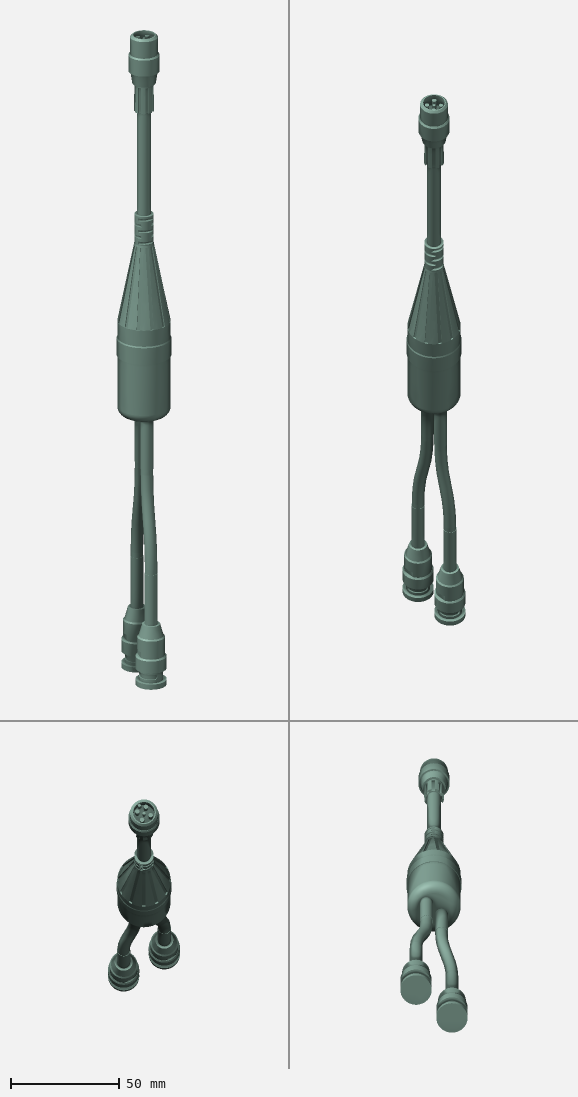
import cadquery as cq
import math


TOP = 321.5
NOSE_BOTTOM = 312.2
GRIP_BOTTOM = 303.5
SHOULDER_BOTTOM = 297.5
FLARE_TOP = 293.0
RELIEF_BOTTOM = 283.5
NECK_TOP = 231.8
CONE_TOP = 217.3
CONE_BOTTOM = 178.0
COLLAR_TOP = 170.0
COLLAR_BOTTOM = 161.0
CUP_BOTTOM = 131.0

CABLE_R = 3.2
NOSE_R = 13 / 2
NOSE_CHAMFER = 1.0
GRIP_R = 14.5 / 2
SHOULDER_TOP_R = 6.5
SHOULDER_BOTTOM_R = 5.5
RELIEF_R = 4.5
FLARE_BOTTOM_R = 9.3 / 2
HOUSING_R = 24.8 / 2
COLLAR_R = 25.5 / 2
STEP_CHAMFER = 0.5
CUP_FILLET = 4.5

SOCKET_R = 10.0 / 2
SOCKET_DEPTH = 6.5
PIN_R = 2.03 / 2
CENTER_PIN_R = 1.3 / 2
PIN_CIRCLE_R = 3.2
PIN_COUNT = 4
FIRST_PIN_ANGLE = 45
PIN_RECESS = 1.5
KEY_WIDTH = 1.3
KEY_DEPTH = 1.3

GROOVE_WIDTH = 1.5
RELIEF_GROOVE_DEPTH = 1.0
CONE_GROOVE_DEPTH = 0.5
RELIEF_GROOVES = 8
RELIEF_GROOVE_TOP = 296.5
CONE_GROOVES = 12
CONE_GROOVE_TOP = 216.5
NECK_SLOTS = 5
NECK_SLOT_PITCH = 3.0
NECK_SLOT_HEIGHT = 1.3
FIRST_SLOT_Z = 230.2
NECK_WEB = 4.8
NECK_CORE_R = 3.0
CUT_MARGIN = 3.2

LEAD_TOP_X = 4.5
PLUG_X = 21.5 / 2
LEAD_R = 5.8 / 2
SLEEVE_R = 6.0 / 2
UPPER_SLEEVE_BOTTOM = 105.8
BEND_TOP = 103.2
BEND_BOTTOM = 58.2
LOWER_SLEEVE_TOP = 55.5

PLUG_TOP = 30.2
PLUG_TOP_R = 4.2
PLUG_BODY_TOP = 24.5
PLUG_BODY_R = 13 / 2
PLUG_GRIP_TOP = 14.8
PLUG_GRIP_BOTTOM = 8.0
PLUG_GRIP_R = GRIP_R
PLUG_NECK_R = 11.3 / 2
FLANGE_TOP = 2.5
FLAT_HEIGHT = 3.0
FLAT_DISTANCE = 5.8
BAYONET_Z = 5.5
BAYONET_WIDTH = 2.5
BAYONET_DEPTH = 0.5
BAYONET_SWEEP = 90


def revolved(profile):
    """Solid of revolution about Z from (radius, height) points, closed along the axis."""
    points = [(0, profile[0][1])] + profile + [(0, profile[-1][1])]
    return cq.Workplane("XZ").polyline(points).close().revolve(360, (0, 0), (0, 1))


def cylinder(radius, bottom, top, x=0, y=0):
    return cq.Workplane("XY", origin=(x, y, bottom)).circle(radius).extrude(top - bottom)


def box(x_range, y_range, z_range):
    sizes = [high - low for low, high in (x_range, y_range, z_range)]
    return cq.Workplane("XY").box(*sizes, centered=False).translate((x_range[0], y_range[0], z_range[0]))


def cut_grooves(body, count, depth, top, top_r, bottom, bottom_r):
    """Cut evenly spaced straight grooves that follow a cylinder or cone."""
    outside = max(top_r, bottom_r) + CUT_MARGIN
    groove = (
        cq.Workplane("XZ")
        .polyline([
            (top_r - depth, top),
            (outside, top),
            (outside, bottom),
            (bottom_r - depth, bottom),
        ])
        .close()
        .extrude(GROOVE_WIDTH / 2, both=True)
    )
    for i in range(count):
        body = body.cut(groove.rotate((0, 0, 0), (0, 0, 1), i * 360 / count))
    return body


def upper_profile():
    return revolved([
        (NOSE_R - NOSE_CHAMFER, TOP),
        (NOSE_R, TOP - NOSE_CHAMFER),
        (NOSE_R, NOSE_BOTTOM),
        (GRIP_R - STEP_CHAMFER, NOSE_BOTTOM),
        (GRIP_R, NOSE_BOTTOM - STEP_CHAMFER),
        (GRIP_R, GRIP_BOTTOM),
        (SHOULDER_TOP_R, GRIP_BOTTOM),
        (SHOULDER_BOTTOM_R, SHOULDER_BOTTOM),
        (RELIEF_R, SHOULDER_BOTTOM),
        (RELIEF_R, FLARE_TOP),
        (FLARE_BOTTOM_R, RELIEF_BOTTOM),
        (CABLE_R, RELIEF_BOTTOM),
        (CABLE_R, NECK_TOP),
        (RELIEF_R, NECK_TOP),
        (RELIEF_R, CONE_TOP),
        (HOUSING_R, CONE_BOTTOM),
        (HOUSING_R, COLLAR_TOP),
        (COLLAR_R, COLLAR_TOP - STEP_CHAMFER),
        (COLLAR_R, COLLAR_BOTTOM),
    ])


def add_socket(body):
    """Sink the socket into the top end, with its key and contact pins."""
    floor = TOP - SOCKET_DEPTH
    pin_top = TOP - PIN_RECESS
    body = body.cut(cylinder(SOCKET_R, floor, TOP))
    key_outer_y = (SOCKET_R + NOSE_R - NOSE_CHAMFER) / 2
    key = box(
        (-KEY_WIDTH / 2, KEY_WIDTH / 2),
        (SOCKET_R - KEY_DEPTH, key_outer_y),
        (floor, pin_top),
    )
    body = body.union(key).union(cylinder(CENTER_PIN_R, floor, pin_top))
    for i in range(PIN_COUNT):
        angle = math.radians(FIRST_PIN_ANGLE + i * 360 / PIN_COUNT)
        x = PIN_CIRCLE_R * math.cos(angle)
        y = PIN_CIRCLE_R * math.sin(angle)
        body = body.union(cylinder(PIN_R, floor, pin_top, x, y))
    return body


def cut_neck_slots(body):
    """Cut pairs of slots, alternately from the X and Y sides, around the cable core."""
    reach = RELIEF_R + CUT_MARGIN
    for i in range(NECK_SLOTS):
        middle = FIRST_SLOT_Z - i * NECK_SLOT_PITCH
        z_range = (middle - NECK_SLOT_HEIGHT / 2, middle + NECK_SLOT_HEIGHT / 2)
        slot = box((NECK_WEB / 2, reach), (-reach, reach), z_range)
        slot = slot.cut(cylinder(NECK_CORE_R, *z_range))
        first_angle = 90 * (i % 2)
        for angle in (first_angle, first_angle + 180):
            body = body.cut(slot.rotate((0, 0, 0), (0, 0, 1), angle))
    return body


def cut_relief_grooves(body):
    return cut_grooves(
        body, RELIEF_GROOVES, RELIEF_GROOVE_DEPTH, RELIEF_GROOVE_TOP, RELIEF_R, RELIEF_BOTTOM, RELIEF_R
    )


def cut_cone_grooves(body):
    slope = (HOUSING_R - RELIEF_R) / (CONE_TOP - CONE_BOTTOM)
    top_r = RELIEF_R + slope * (CONE_TOP - CONE_GROOVE_TOP)
    return cut_grooves(
        body, CONE_GROOVES, CONE_GROOVE_DEPTH, CONE_GROOVE_TOP, top_r, CONE_BOTTOM, HOUSING_R
    )


def make_upper_body():
    body = add_socket(upper_profile())
    body = cut_relief_grooves(body)
    body = cut_neck_slots(body)
    return cut_cone_grooves(body)


def make_lead():
    """Lead on the +X side: sleeve, thin S-bend of two tangent arcs, sleeve."""
    shift = (PLUG_X - LEAD_TOP_X) / 2
    half_height = (BEND_TOP - BEND_BOTTOM) / 2
    middle = (LEAD_TOP_X + shift, BEND_TOP - half_height)
    path = (
        cq.Workplane("XZ")
        .moveTo(LEAD_TOP_X, UPPER_SLEEVE_BOTTOM)
        .lineTo(LEAD_TOP_X, BEND_TOP)
        .tangentArcPoint(middle, relative=False)
        .tangentArcPoint((PLUG_X, BEND_BOTTOM), relative=False)
        .lineTo(PLUG_X, LOWER_SLEEVE_TOP)
    )
    start = cq.Workplane("XY", origin=(LEAD_TOP_X, 0, UPPER_SLEEVE_BOTTOM))
    bend = start.circle(LEAD_R).sweep(path)
    upper_sleeve = cylinder(SLEEVE_R, UPPER_SLEEVE_BOTTOM, CUP_BOTTOM, LEAD_TOP_X)
    lower_sleeve = cylinder(SLEEVE_R, PLUG_TOP, LOWER_SLEEVE_TOP, PLUG_X)
    return bend.union(upper_sleeve).union(lower_sleeve)


def bayonet_slot():
    """Shallow slot with round ends, from the +X side round to the -Y side of a plug."""
    bottom = BAYONET_Z - BAYONET_WIDTH / 2
    floor_r = PLUG_NECK_R - BAYONET_DEPTH
    middle_r = (floor_r + PLUG_NECK_R) / 2
    sweep_axis_x = -middle_r
    slot = (
        cq.Workplane("XZ")
        .center(middle_r, BAYONET_Z)
        .rect(BAYONET_DEPTH, BAYONET_WIDTH)
        .revolve(BAYONET_SWEEP, (sweep_axis_x, 3.2), (sweep_axis_x, 0))
    )
    ring = cylinder(PLUG_NECK_R, bottom, bottom + BAYONET_WIDTH)
    ring = ring.cut(cylinder(floor_r, bottom, bottom + BAYONET_WIDTH))
    end = cq.Workplane("YZ").center(0, BAYONET_Z).circle(BAYONET_WIDTH / 2).extrude(PLUG_NECK_R)
    end = end.intersect(ring)
    return slot.union(end).union(end.rotate((0, 0, 0), (0, 0, 1), -BAYONET_SWEEP))


def make_plug():
    """Bayonet plug on the Z axis."""
    plug = revolved([
        (PLUG_TOP_R, PLUG_TOP),
        (PLUG_BODY_R - STEP_CHAMFER, PLUG_BODY_TOP),
        (PLUG_BODY_R, PLUG_BODY_TOP - STEP_CHAMFER),
        (PLUG_BODY_R, PLUG_GRIP_TOP),
        (PLUG_GRIP_R - STEP_CHAMFER, PLUG_GRIP_TOP),
        (PLUG_GRIP_R, PLUG_GRIP_TOP - STEP_CHAMFER),
        (PLUG_GRIP_R, PLUG_GRIP_BOTTOM),
        (PLUG_NECK_R, PLUG_GRIP_BOTTOM),
        (PLUG_NECK_R, FLANGE_TOP),
        (PLUG_GRIP_R, FLANGE_TOP),
        (PLUG_GRIP_R, 0),
    ])
    flat_cut = box(
        (-PLUG_BODY_R, PLUG_BODY_R),
        (FLAT_DISTANCE, PLUG_BODY_R),
        (PLUG_GRIP_TOP, PLUG_GRIP_TOP + FLAT_HEIGHT),
    )
    slot = bayonet_slot()
    for angle in (0, 180):
        plug = plug.cut(flat_cut.rotate((0, 0, 0), (0, 0, 1), angle))
        plug = plug.cut(slot.rotate((0, 0, 0), (0, 0, 1), angle))
    return plug


def make_lower_body():
    body = cylinder(HOUSING_R, CUP_BOTTOM, COLLAR_BOTTOM).faces("<Z").edges().fillet(CUP_FILLET)
    lead = make_lead()
    plug = make_plug()
    body = body.union(lead).union(lead.mirror("YZ"))
    for x in (-PLUG_X, PLUG_X):
        body = body.union(plug.translate((x, 0, 0)))
    return body


upper_body = make_upper_body()
lower_body = make_lower_body()

result = cq.Compound.makeCompound([upper_body.val(), lower_body.val()])